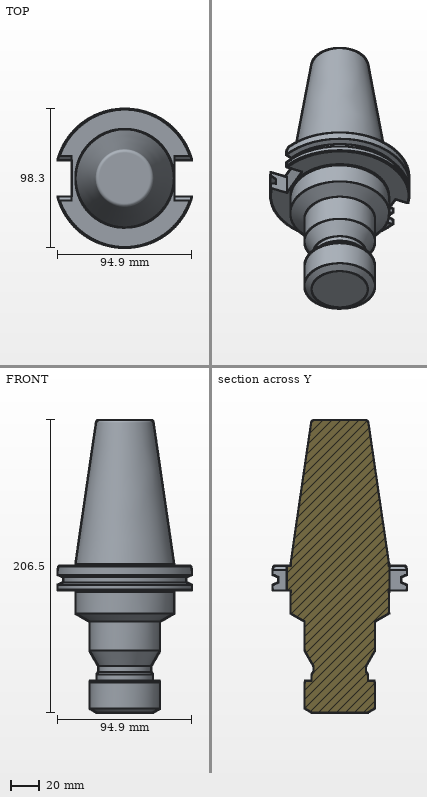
import cadquery as cq
import math

total_height = 206.5
taper_large_diameter = 69.8
taper_length = 101.6
taper_ratio = 7 / 24
taper_end_fillet = 2.5
relief_diameter = 69.2

flange_diameter = 98.3
flange_bottom = 86.2
flange_top = 103.7
flange_edge_chamfer = 0.6
groove_diameter = 90.7
groove_floor_bottom = 92.0
groove_floor_top = 95.7
groove_side_height = 1.7

slot_width = 25.5
slot_floor_left = 37.4
slot_floor_right = 35.1
slot_corner_chamfer = 3.0

collar_diameter = 69.8
collar_top = 85.1
shank_diameter = 50.0
shank_top = 64.3
shank_bottom = 43.8
cone_angle = math.radians(60)

neck_diameter = 37.5
neck_top = 33.0
neck_bottom = 29.0
thread_diameter = 40.0
thread_top = 27.0
nut_diameter = 50.0
nut_top = 22.7
nut_top_chamfer_height = 1.35
nut_top_chamfer_width = 0.6
nut_face_diameter = 39.7

gauge_height = total_height - taper_length
taper_small_diameter = taper_large_diameter - taper_length * taper_ratio
collar_bottom = shank_top + (collar_diameter - shank_diameter) / 2 / math.tan(cone_angle)
nut_chamfer_height = (nut_diameter - nut_face_diameter) / 2 / math.tan(cone_angle)


def revolve_profile(stations):
    """Revolve (diameter, height) stations, listed bottom to top, about Z."""
    outline = [(diameter / 2, height) for diameter, height in stations]
    axis_start = (0, stations[0][1])
    axis_end = (0, stations[-1][1])
    profile = cq.Workplane("XZ").polyline([axis_start] + outline + [axis_end]).close()
    return profile.revolve(360, (0, 0, 0), (0, 1, 0))


def make_lower_body():
    """Nut, neck, shank and collar, reaching up to the flange."""
    return revolve_profile([
        (nut_face_diameter, 0),
        (nut_diameter, nut_chamfer_height),
        (nut_diameter, nut_top - nut_top_chamfer_height),
        (nut_diameter - 2 * nut_top_chamfer_width, nut_top),
        (thread_diameter, nut_top),
        (thread_diameter, thread_top),
        (neck_diameter, neck_bottom),
        (neck_diameter, neck_top),
        (shank_diameter, shank_bottom),
        (shank_diameter, shank_top),
        (collar_diameter, collar_bottom),
        (collar_diameter, collar_top),
        (relief_diameter, collar_top),
        (relief_diameter, flange_bottom),
    ])


def make_flange():
    """Flange with chamfered rims and a tapered-side groove."""
    edge_diameter = flange_diameter - 2 * flange_edge_chamfer
    return revolve_profile([
        (edge_diameter, flange_bottom),
        (flange_diameter, flange_bottom + flange_edge_chamfer),
        (flange_diameter, groove_floor_bottom - groove_side_height),
        (groove_diameter, groove_floor_bottom),
        (groove_diameter, groove_floor_top),
        (flange_diameter, groove_floor_top + groove_side_height),
        (flange_diameter, flange_top - flange_edge_chamfer),
        (edge_diameter, flange_top),
    ])


def make_taper():
    """Taper with a rounded small end and a short relief above the flange."""
    relief = revolve_profile([
        (relief_diameter, flange_top),
        (relief_diameter, gauge_height),
    ])
    cone = revolve_profile([
        (taper_large_diameter, gauge_height),
        (taper_small_diameter, total_height),
    ])
    return relief.union(cone.edges(">Z").fillet(taper_end_fillet))


def make_slot_cutter(side, floor_distance):
    """Slot with widened upper corners; side is -1 for -X and +1 for +X."""
    half_width = slot_width / 2
    half_mouth = half_width + slot_corner_chamfer
    shoulder = flange_top - slot_corner_chamfer
    section = cq.Workplane("YZ", origin=(side * floor_distance, 0, 0)).polyline([
        (-half_width, flange_bottom),
        (half_width, flange_bottom),
        (half_width, shoulder),
        (half_mouth, flange_top),
        (-half_mouth, flange_top),
        (-half_width, shoulder),
    ])
    return section.close().extrude(side * flange_diameter / 2)


flange = make_flange()
for side, floor_distance in ((-1, slot_floor_left), (1, slot_floor_right)):
    flange = flange.cut(make_slot_cutter(side, floor_distance))

result = make_lower_body().union(flange).union(make_taper())